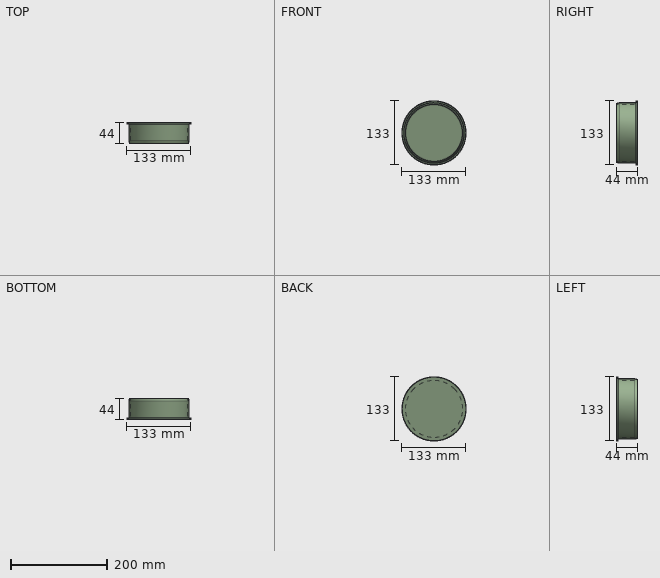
import cadquery as cq
import math

flange_diameter = 133.0
body_diameter = 125.2
bore_diameter = 118.4
total_length = 44.0

flange_thickness = 3.0
floor_thickness = 3.0
root_fillet = 1.0

taper_length = 6.0
taper_angle = 15.0
rim_fillet = 0.5

body_radius = body_diameter / 2
rim_radius = body_radius - taper_length * math.tan(math.radians(taper_angle))

rim_y = -total_length / 2
back_y = total_length / 2
flange_y = back_y - flange_thickness
floor_y = back_y - floor_thickness


def make_disc(radius, start_y, end_y):
    """Solid cylinder around the Y axis between two Y positions."""
    return (
        cq.Workplane("XZ", origin=(0, end_y, 0))
        .circle(radius)
        .extrude(end_y - start_y)
    )


def make_tapered_body():
    """Plug body with a lead-in taper and a rounded outer rim."""
    profile = [
        (0, rim_y),
        (rim_radius, rim_y),
        (body_radius, rim_y + taper_length),
        (body_radius, flange_y),
        (0, flange_y),
    ]
    body = cq.Workplane("XY").polyline(profile).close().revolve(360, (0, 0, 0), (0, 1, 0))
    return body.faces("<Y").edges().fillet(rim_fillet)


def round_root(solid, radius, y):
    """Fillet the inside corner circle of the given radius at the given Y."""
    tolerance = 0.01
    corner = cq.selectors.BoxSelector(
        (-radius - tolerance, y - tolerance, -radius - tolerance),
        (radius + tolerance, y + tolerance, radius + tolerance),
        boundingbox=True,
    )
    return solid.edges("%CIRCLE").edges(corner).fillet(root_fillet)


flange = make_disc(flange_diameter / 2, flange_y, back_y)
cap = round_root(make_tapered_body().union(flange), body_radius, flange_y)

bore = make_disc(bore_diameter / 2, rim_y, floor_y)
bore = bore.faces(">Y").edges().fillet(root_fillet)

result = cap.cut(bore)